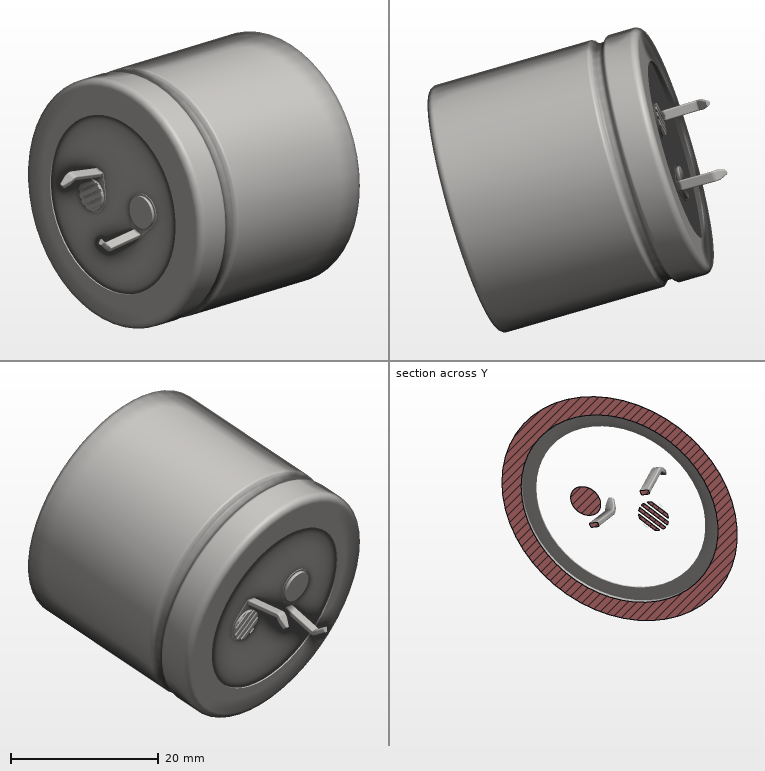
import cadquery as cq
import math

CAN_DIAMETER = 34.95
TOTAL_LENGTH = 36.15
PIN_PROJECTION = 6.05
CAN_LENGTH = TOTAL_LENGTH - PIN_PROJECTION
END_ROUNDING = 0.98

BEAD_CENTER = 5.8
BEAD_DIAMETER = 33.5
BEAD_FLAT = 0.55
BEAD_RADIUS = 0.5
BEAD_WALL_ANGLE = math.radians(50)

LIP_DIAMETER = 25.0
LIP_THICKNESS = 0.18
RECESS_DIAMETER = 29.0
RECESS_DEPTH = 1.05

TERMINAL_PITCH = 10.0
TAB_DIAMETER = 5.1
TAB_THICKNESS = 0.1
RIVET_DIAMETER = 4.5
RIVET_HEIGHT = 0.55
PIN_ANGLE = 70.0
PIN_WIDTH = 1.4
PIN_THICKNESS = 0.72
PIN_EDGE_ROUNDING = 0.18
PIN_BEND_INNER_RADIUS = 0.18
PIN_TIP_WIDTH = 0.5
PIN_TIP_TAPER = 1.1
PIN_BASE_REACH = 3.65
PIN_BEND_REACH = 4.5
PIN_TIP_REACH = 3.2
PIN_BEND_PROJECTION = 4.35

HATCH_ANGLE = 30.0
HATCH_PITCH = 1.0
HATCH_WIDTH = 0.4
HATCH_DEPTH = 0.18
HATCH_COUNT = 5


def disc(diameter, y_start, y_end):
    """Cylinder along Y between two Y positions."""
    plane = cq.Workplane("XZ", origin=(0, y_start, 0))
    return plane.circle(diameter / 2).extrude(y_start - y_end)


def make_can():
    """Can with rounded ends and the bead groove; the terminal end lies at Y = 0."""
    radius = CAN_DIAMETER / 2
    bead_radius = BEAD_DIAMETER / 2
    end_cut = END_ROUNDING * (1 - math.sqrt(0.5))

    arc_run = BEAD_RADIUS * math.sin(BEAD_WALL_ANGLE)
    arc_drop = BEAD_RADIUS * (1 - math.cos(BEAD_WALL_ANGLE))
    mid_run = BEAD_RADIUS * math.sin(BEAD_WALL_ANGLE / 2)
    mid_drop = BEAD_RADIUS * (1 - math.cos(BEAD_WALL_ANGLE / 2))
    wall_run = (radius - bead_radius - 2 * arc_drop) / math.tan(BEAD_WALL_ANGLE)
    half_flat = BEAD_FLAT / 2
    bottom_end = half_flat + arc_run
    shoulder_start = bottom_end + wall_run
    shoulder_end = shoulder_start + arc_run

    def bead(radial, offset):
        return (radial, BEAD_CENTER + offset)

    outline = (
        cq.Workplane("XY")
        .lineTo(radius - END_ROUNDING, 0)
        .threePointArc((radius - end_cut, end_cut), (radius, END_ROUNDING))
        .lineTo(*bead(radius, -shoulder_end))
        .threePointArc(
            bead(radius - mid_drop, mid_run - shoulder_end),
            bead(radius - arc_drop, -shoulder_start),
        )
        .lineTo(*bead(bead_radius + arc_drop, -bottom_end))
        .threePointArc(
            bead(bead_radius + mid_drop, -half_flat - mid_run),
            bead(bead_radius, -half_flat),
        )
        .lineTo(*bead(bead_radius, half_flat))
        .threePointArc(
            bead(bead_radius + mid_drop, half_flat + mid_run),
            bead(bead_radius + arc_drop, bottom_end),
        )
        .lineTo(*bead(radius - arc_drop, shoulder_start))
        .threePointArc(
            bead(radius - mid_drop, shoulder_end - mid_run),
            bead(radius, shoulder_end),
        )
        .lineTo(radius, CAN_LENGTH - END_ROUNDING)
        .threePointArc(
            (radius - end_cut, CAN_LENGTH - end_cut),
            (radius - END_ROUNDING, CAN_LENGTH),
        )
        .lineTo(0, CAN_LENGTH)
        .close()
    )
    can = outline.revolve(360, (0, 0, 0), (0, 1, 0))
    can = can.cut(disc(LIP_DIAMETER, 0, LIP_THICKNESS))
    return can.cut(disc(RECESS_DIAMETER, LIP_THICKNESS, RECESS_DEPTH))


def make_tab():
    """Flat teardrop tab around the rivet, reaching along +X to the pin."""
    radius = TAB_DIAMETER / 2
    reach = PIN_BASE_REACH + PIN_THICKNESS / 2
    half_end = PIN_WIDTH / 2

    corner_angle = math.atan2(half_end, reach)
    tangent_angle = corner_angle + math.acos(radius / math.hypot(reach, half_end))
    tangent_x = radius * math.cos(tangent_angle)
    tangent_z = radius * math.sin(tangent_angle)

    plane = cq.Workplane("XZ", origin=(0, RECESS_DEPTH, 0))
    outline = (
        plane.moveTo(reach, -half_end)
        .lineTo(reach, half_end)
        .lineTo(tangent_x, tangent_z)
        .threePointArc((-radius, 0), (tangent_x, -tangent_z))
        .close()
    )
    return outline.extrude(TAB_THICKNESS)


def make_pin():
    """Pin leaning outward along +X, then bent back inward, with a narrowed tip."""
    base = (PIN_BASE_REACH, RECESS_DEPTH)
    bend = (PIN_BEND_REACH, -PIN_BEND_PROJECTION)
    lean = math.atan2(bend[0] - base[0], base[1] - bend[1])
    fold = math.atan2(PIN_BEND_REACH - PIN_TIP_REACH, PIN_PROJECTION - PIN_BEND_PROJECTION)
    half = PIN_THICKNESS / 2

    base_offset = half / math.cos(lean)
    miter = half / math.cos((lean + fold) / 2)
    miter_angle = (lean - fold) / 2
    miter_x = miter * math.cos(miter_angle)
    miter_y = miter * math.sin(miter_angle)
    tip_x = half * math.cos(fold)
    tip_y = half * math.sin(fold)
    tip = (PIN_TIP_REACH, tip_y - PIN_PROJECTION)

    inner_bend = (bend[0] - miter_x, bend[1] - miter_y)
    outer_bend = (bend[0] + miter_x, bend[1] + miter_y)
    pin = (
        cq.Workplane("XY")
        .moveTo(base[0] - base_offset, base[1])
        .lineTo(*inner_bend)
        .lineTo(tip[0] - tip_x, tip[1] + tip_y)
        .lineTo(tip[0] + tip_x, tip[1] - tip_y)
        .lineTo(*outer_bend)
        .lineTo(base[0] + base_offset, base[1])
        .close()
        .extrude(PIN_WIDTH / 2, both=True)
    )
    outer_radius = PIN_BEND_INNER_RADIUS + PIN_THICKNESS
    for corner, radius in ((inner_bend, PIN_BEND_INNER_RADIUS), (outer_bend, outer_radius)):
        pin = pin.edges("|Z").edges(cq.NearestToPointSelector((*corner, 0))).fillet(radius)

    half_width = PIN_WIDTH / 2
    half_tip = PIN_TIP_WIDTH / 2
    taper_start = PIN_TIP_TAPER - PIN_PROJECTION
    width_outline = (
        cq.Workplane("YZ")
        .moveTo(RECESS_DEPTH, -half_width)
        .lineTo(taper_start, -half_width)
        .lineTo(-PIN_PROJECTION, -half_tip)
        .lineTo(-PIN_PROJECTION, half_tip)
        .lineTo(taper_start, half_width)
        .lineTo(RECESS_DEPTH, half_width)
        .close()
        .extrude(2 * PIN_BEND_REACH)
    )
    pin = pin.intersect(width_outline)
    return pin.edges("not (|Z or |X or >Y)").fillet(PIN_EDGE_ROUNDING)


def make_terminal():
    """Tab, rivet head and pin of one terminal on its side of the can."""
    rivet = disc(RIVET_DIAMETER, RECESS_DEPTH, RECESS_DEPTH - RIVET_HEIGHT)
    terminal = make_tab().union(rivet).union(make_pin())
    turned = terminal.rotate((0, 0, 0), (0, 1, 0), -PIN_ANGLE)
    return turned.translate((-TERMINAL_PITCH / 2, 0, 0))


def make_hatching():
    """Parallel grooves across the rivet head of the negative terminal."""
    rivet_top = RECESS_DEPTH - RIVET_HEIGHT
    rows = cq.Workplane("XZ", origin=(0, rivet_top, 0)).rarray(0.35, HATCH_PITCH, 1, HATCH_COUNT)
    grooves = rows.rect(2 * RIVET_DIAMETER, HATCH_WIDTH).extrude(-HATCH_DEPTH)
    grooves = grooves.intersect(disc(RIVET_DIAMETER, rivet_top + HATCH_DEPTH, rivet_top))
    turned = grooves.rotate((0, 0, 0), (0, 1, 0), -HATCH_ANGLE)
    return turned.translate((-TERMINAL_PITCH / 2, 0, 0))


negative = make_terminal()
positive = negative.rotate((0, 0, 0), (0, 1, 0), 180)
result = make_can().union(negative).union(positive).cut(make_hatching())